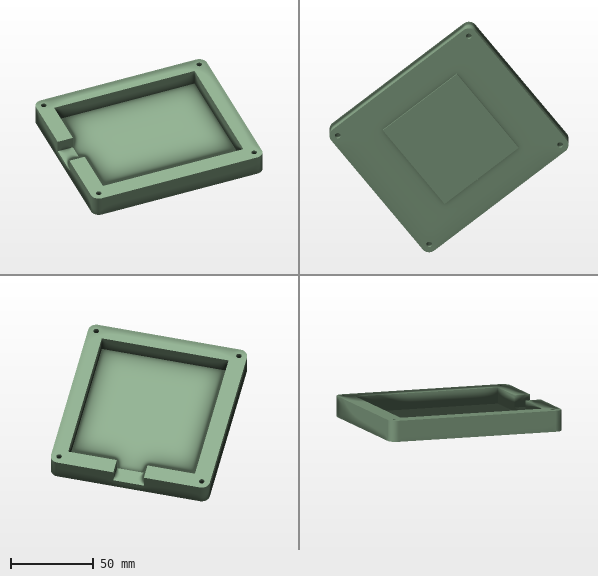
import cadquery as cq

width = 99.0
length = 112.0
height = 13.0
corner_radius = 5.0

hole_diameter = 3.4
hole_inset = corner_radius

left_wall = 9.6
right_wall = 10.4
end_wall = 10.0
pocket_depth = 10.0

notch_width = 19.0
notch_depth = 7.5

pad_width = 60.3
pad_length = 57.7
pad_height = 1.0
pad_center_x = 0.2
pad_center_y = 1.6


def make_body():
    body = cq.Workplane("XY").box(width, length, height, centered=(True, True, False))
    return body.edges("|Z").fillet(corner_radius)


def make_pocket():
    pocket_width = width - left_wall - right_wall
    pocket_length = length - 2 * end_wall
    return (
        cq.Workplane("XY", origin=((left_wall - right_wall) / 2, 0, height))
        .rect(pocket_width, pocket_length)
        .extrude(-pocket_depth)
    )


def make_notch():
    return (
        cq.Workplane("XY", origin=(0, (end_wall - length) / 2, height))
        .rect(notch_width, end_wall)
        .extrude(-notch_depth)
    )


def make_screw_holes():
    return (
        cq.Workplane("XY")
        .rect(width - 2 * hole_inset, length - 2 * hole_inset, forConstruction=True)
        .vertices()
        .circle(hole_diameter / 2)
        .extrude(height)
    )


def make_pad():
    return (
        cq.Workplane("XY", origin=(pad_center_x, pad_center_y, 0))
        .rect(pad_width, pad_length)
        .extrude(-pad_height)
    )


tray = make_body().cut(make_pocket()).cut(make_notch()).cut(make_screw_holes())
result = tray.union(make_pad())